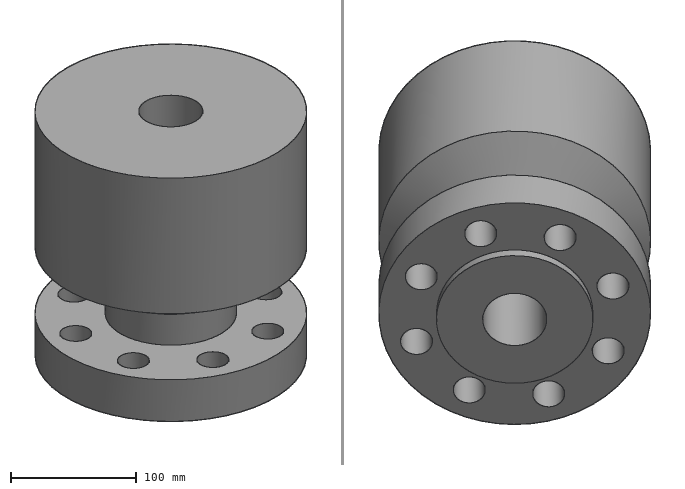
import cadquery as cq

total_height = 230.2
body_diameter = 216.0
bore_diameter = 50.9

face_diameter = 124.3
face_height = 7.8
flange_thickness = 38.2

neck_diameter = 104.5
cone_bottom = 74.1
cone_top = 106.4

bolt_hole_count = 8
bolt_hole_diameter = 25.3
bolt_circle_diameter = 165.0

flange_top = face_height + flange_thickness
body_radius = body_diameter / 2
neck_radius = neck_diameter / 2
face_radius = face_diameter / 2


def revolved_body():
    """Solid of revolution about Z, standing on its raised face at Z = 0."""
    return (
        cq.Workplane("XZ")
        .moveTo(0, 0)
        .lineTo(face_radius, 0)
        .lineTo(face_radius, face_height)
        .lineTo(body_radius, face_height)
        .lineTo(body_radius, flange_top)
        .lineTo(neck_radius, flange_top)
        .lineTo(neck_radius, cone_bottom)
        .lineTo(body_radius, cone_top)
        .lineTo(body_radius, total_height)
        .lineTo(0, total_height)
        .close()
        .revolve(360, (0, 0, 0), (0, 1, 0))
    )


def bore():
    """Straight passage through the full height."""
    return cq.Workplane("XY").circle(bore_diameter / 2).extrude(total_height)


def bolt_holes():
    """Ring of through holes in the flange, clear of the raised face."""
    return (
        cq.Workplane("XY")
        .polarArray(bolt_circle_diameter / 2, 0, 360, bolt_hole_count)
        .circle(bolt_hole_diameter / 2)
        .extrude(flange_top)
    )


result = revolved_body().cut(bore()).cut(bolt_holes())